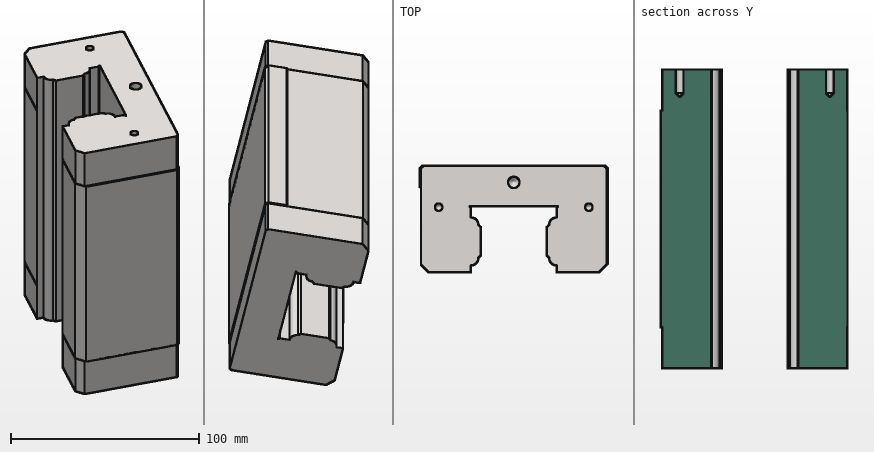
import cadquery as cq
import math

length = 159.0
body_width = 100.0
body_depth = 57.0

cap_length = 21.8
cap_side_inset = 0.72
cap_back_inset = 0.5
cap_front_inset = 0.08
cap_back_chamfer = 1.1

front_chamfer_foot = 45.3
back_chamfer = cap_back_inset + cap_back_chamfer

band_height = 11.5
band_relief = 0.6

channel_half_width = 22.7
channel_roof = 35.1
roof_flare = 0.8
rib_front = 3.7
rib_back = 29.3
rib_radius = 4.0
rib_chamfer = 1.3

hole_depth = 12.7
drill_tip_angle = 90.0
center_hole_diameter = 6.0
center_hole_setback = 9.0
side_hole_diameter = 4.0
side_hole_setback = 22.3
side_hole_offset = 39.9

body_half = body_width / 2
body_length = length - 2 * cap_length


def block(half_width, front, back, back_corner, height):
    """Solid prism with chamfered front and back corners, centred on Z."""
    front_corner = half_width - front_chamfer_foot
    return (
        cq.Workplane("XY")
        .moveTo(-front_chamfer_foot, front)
        .lineTo(front_chamfer_foot, front)
        .lineTo(half_width, front + front_corner)
        .lineTo(half_width, back - back_corner)
        .lineTo(half_width - back_corner, back)
        .lineTo(back_corner - half_width, back)
        .lineTo(-half_width, back - back_corner)
        .lineTo(-half_width, front + front_corner)
        .close()
        .extrude(height / 2, both=True)
    )


def side_relief():
    """Material removed from the -X side of the body in front of the reference band."""
    band_edge = body_depth - band_height
    relieved_x = band_relief - body_half
    return (
        cq.Workplane("XY")
        .moveTo(-body_half, 0)
        .lineTo(relieved_x, 0)
        .lineTo(relieved_x, band_edge - band_relief)
        .lineTo(-body_half, band_edge)
        .close()
        .extrude(body_length / 2, both=True)
    )


def rib(side):
    """Bearing rib projecting into the channel from the wall on the given side (+1 or -1)."""
    shoulder = channel_half_width - rib_radius
    crest = shoulder - rib_chamfer
    arc_reach = rib_radius * math.sin(math.radians(45))
    arc_mid_x = channel_half_width - arc_reach
    arc_mid_rise = rib_radius - arc_reach
    return (
        cq.Workplane("XY")
        .moveTo(side * channel_half_width, rib_front)
        .threePointArc(
            (side * arc_mid_x, rib_front + arc_mid_rise),
            (side * shoulder, rib_front + rib_radius),
        )
        .lineTo(side * crest, rib_front + rib_radius + rib_chamfer)
        .lineTo(side * crest, rib_back - rib_radius - rib_chamfer)
        .lineTo(side * shoulder, rib_back - rib_radius)
        .threePointArc(
            (side * arc_mid_x, rib_back - arc_mid_rise),
            (side * channel_half_width, rib_back),
        )
        .close()
        .extrude(length / 2, both=True)
    )


def rail_channel():
    """Open channel that flares out under its roof, less the two bearing ribs."""
    flared_half_width = channel_half_width + roof_flare
    flare_start = channel_roof - roof_flare
    channel = (
        cq.Workplane("XY")
        .moveTo(-channel_half_width, 0)
        .lineTo(channel_half_width, 0)
        .lineTo(channel_half_width, flare_start)
        .lineTo(flared_half_width, channel_roof)
        .lineTo(-flared_half_width, channel_roof)
        .lineTo(-channel_half_width, flare_start)
        .close()
        .extrude(length / 2, both=True)
    )
    return channel.cut(rib(-1)).cut(rib(1))


def drilled_hole(x, setback, diameter):
    """Blind hole with a conical drill tip, sunk from the top; setback is from the back face."""
    radius = diameter / 2
    tip_length = radius / math.tan(math.radians(drill_tip_angle / 2))
    return (
        cq.Workplane("XZ")
        .lineTo(radius, 0)
        .lineTo(radius, -hole_depth)
        .lineTo(0, -hole_depth - tip_length)
        .close()
        .revolve(360, (0, 0), (0, 1))
        .translate((x, body_depth - setback, length / 2))
    )


body = block(body_half, 0, body_depth, back_chamfer, body_length).cut(side_relief())
cap_core = block(
    body_half - cap_side_inset,
    cap_front_inset,
    body_depth - cap_back_inset,
    cap_back_chamfer,
    length,
)

result = body.union(cap_core).cut(rail_channel())
result = result.cut(drilled_hole(0, center_hole_setback, center_hole_diameter))
for side in (-1, 1):
    result = result.cut(drilled_hole(side * side_hole_offset, side_hole_setback, side_hole_diameter))